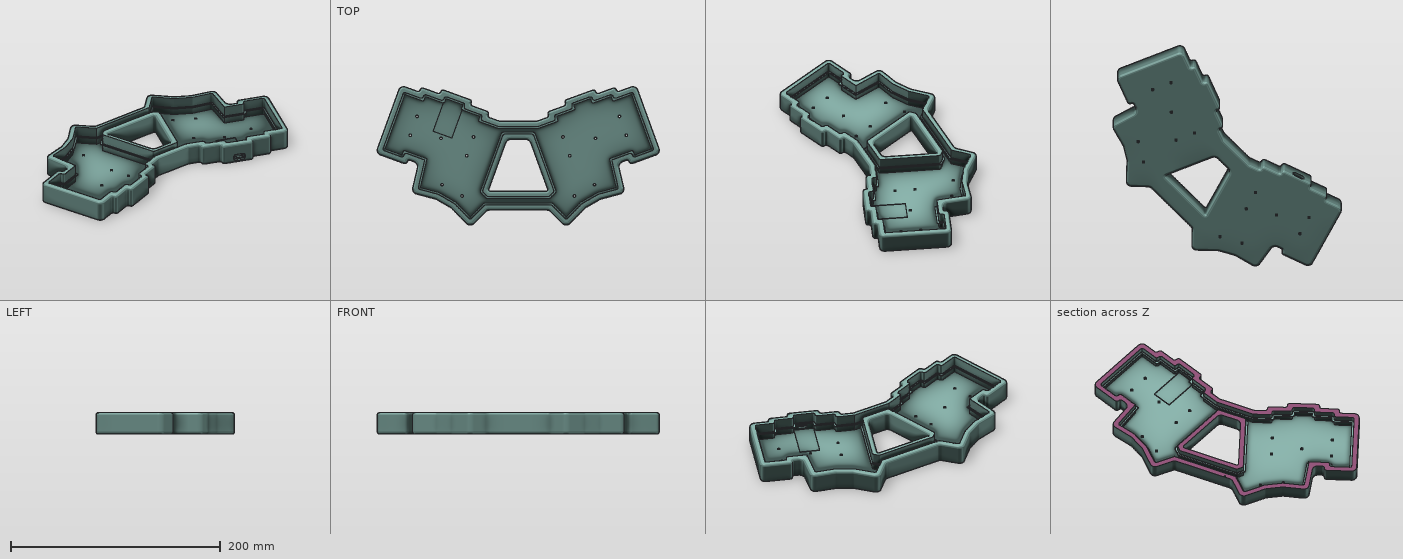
import cadquery as cq
import math


height = 20.7
floor_thickness = 3.0
lip_top = 10.8
lip_thickness = 0.5
lip_width = 2.0
wall = 5.0
wall_and_lip = wall + lip_width
edge_fillet = 2.5

corner_radius = 5.0
outer_radii = {"corner": corner_radius, "bend": corner_radius, "outward": 2.55, "inward": 2.2}
inner_wall_radii = {"corner": lip_width, "outward": 2.2, "inward": 2.2}
lip_radii = {"outward": 0.8, "inward": 1.3}
window_hole_radii = {"back": corner_radius, "front": 1.3}
window_wall_radii = {"back": 2.2, "front": 2.2}

hand_tilt = math.radians(20)
key_pitch = 19.0
stagger = 4.8
hand_left = -121.35
back_low = 17.7
back_mid = back_low + stagger
back_high = back_mid + stagger
left_step_1 = hand_left + key_pitch
left_step_2 = left_step_1 + key_pitch
right_step_1 = -66.0
right_step_2 = right_step_1 + key_pitch
front_low = -37.4
front_high = front_low + stagger
front_step = -104.3
front_inner = -80.5

bridge_back = 25.8
bridge_front = -45.02
thumb_left = (-93.3, -30.5)
thumb_tilt = math.radians(15)
thumb_front_length = 18.5
thumb_bend = (-59.5, -44.3)
thumb_tip = (-45.7, -58.3)

window_side = -22.3
window_back = 22.3
window_front = -40.9
window_cut_end = -30.0

hole_diameter = 2.2
hole_left = -103.35
hole_back = 2.2
hole_columns_apart = 3 * key_pitch
middle_hole_v = -9.7
thumb_holes = [(-72.5, -27.7), (-53.5, -38.5)]

recess_depth = 0.5
recess_front = -6.0
recess_u = (left_step_2 + right_step_1) / 2
plug_u = -75.8
plug_z = 6.0
plug_width = 9.0
plug_height = 3.8
plug_wall = 2.7
socket_width = 11.8
socket_height = 6.5
slot_rounding = 0.45


def from_hand(u, v):
    """Turn a point on the left hand's axes into X and Y."""
    x = u * math.cos(hand_tilt) + v * math.sin(hand_tilt)
    y = v * math.cos(hand_tilt) - u * math.sin(hand_tilt)
    return (x, y)


def column_line_at(u, y):
    """Point with the given Y on the line of constant u."""
    return from_hand(u, (y + u * math.sin(hand_tilt)) / math.cos(hand_tilt))


def row_line_at(v, y):
    """Point with the given Y on the line of constant v."""
    return from_hand((v * math.cos(hand_tilt) - y) / math.sin(hand_tilt), v)


def mirror_points(points):
    return [(-x, y) for x, y in points]


def mirrored(half):
    """Complete a left half of (point, corner kind) with its mirror image."""
    return half + [((-x, y), kind) for (x, y), kind in reversed(half)]


def offset_outline(corners, distance):
    """Move every side of a clockwise outline outwards, keeping the corners sharp."""
    moved = []
    for i, ((x, y), kind) in enumerate(corners):
        before = corners[i - 1][0]
        after = corners[(i + 1) % len(corners)][0]
        arriving = math.atan2(y - before[1], x - before[0])
        leaving = math.atan2(after[1] - y, after[0] - x)
        direction = (arriving + leaving + math.pi) / 2
        reach = distance / math.cos((leaving - arriving) / 2)
        moved.append(((x + reach * math.cos(direction), y + reach * math.sin(direction)), kind))
    return moved


def prism(corners, radii, bottom, top):
    """Upright prism over an outline; corner kinds without a radius stay sharp."""
    body = cq.Workplane("XY", origin=(0, 0, bottom)).polyline([point for point, _ in corners]).close()
    body = body.extrude(top - bottom)
    middle = (bottom + top) / 2
    for kind, radius in radii.items():
        spots = [(x, y, middle) for (x, y), corner_kind in corners if corner_kind == kind]
        if spots:
            edges = [body.edges(cq.NearestToPointSelector(spot)).val() for spot in spots]
            body = body.newObject(edges).fillet(radius)
    return body


def hand_block(u_middle, width, v_front, v_back, bottom, top):
    """Block aligned with the left hand's axes."""
    block = cq.Workplane("XY").box(width, v_back - v_front, top - bottom, centered=(True, False, False))
    block = block.translate((u_middle, v_front, bottom))
    return block.rotate((0, 0, 0), (0, 0, 1), -math.degrees(hand_tilt))


def plug_slot(width, slot_height, v_front, v_back):
    """Slot with rounded ends, running along v at the plug position."""
    half = slot_height / 2
    slot = hand_block(plug_u, width, v_front, v_back, plug_z - half, plug_z + half)
    along_v = cq.Vector(*from_hand(0, 1), 0)
    return slot.edges(cq.ParallelDirSelector(along_v)).fillet(slot_rounding * slot_height)


bridge_front_end = thumb_tip[0] + bridge_front - thumb_tip[1]
thumb_key_end = (
    thumb_left[0] + thumb_front_length * math.cos(thumb_tilt),
    thumb_left[1] - thumb_front_length * math.sin(thumb_tilt),
)
case_lip = mirrored([
    ((bridge_front_end, bridge_front), "bend"),
    (thumb_tip, "corner"),
    (thumb_bend, "bend"),
    (thumb_key_end, "bend"),
    (thumb_left, "corner"),
    (from_hand(front_inner, front_high), "bend"),
    (from_hand(front_step, front_high), "inward"),
    (from_hand(front_step, front_low), "outward"),
    (from_hand(hand_left, front_low), "corner"),
    (from_hand(hand_left, back_low), "corner"),
    (from_hand(left_step_1, back_low), "inward"),
    (from_hand(left_step_1, back_mid), "outward"),
    (from_hand(left_step_2, back_mid), "inward"),
    (from_hand(left_step_2, back_high), "outward"),
    (from_hand(right_step_1, back_high), "outward"),
    (from_hand(right_step_1, back_mid), "inward"),
    (from_hand(right_step_2, back_mid), "outward"),
    (from_hand(right_step_2, back_low), "inward"),
    (row_line_at(back_low, bridge_back), "bend"),
])

window_corner_x = column_line_at(window_side, window_front)[0]
window_cut_rise = (window_cut_end - window_corner_x) / (1 + math.tan(hand_tilt))
window_lip = mirrored([
    ((window_cut_end, window_front), "front"),
    ((window_cut_end - window_cut_rise, window_front + window_cut_rise), "front"),
    (column_line_at(window_side, window_back), "back"),
])

case_wall = offset_outline(case_lip, lip_width)
window_wall = offset_outline(window_lip, -lip_width)

body = prism(offset_outline(case_lip, wall_and_lip), outer_radii, 0, height)
body = body.cut(prism(offset_outline(window_lip, -wall_and_lip), window_hole_radii, 0, height))
body = body.faces("<Z or >Z").edges().fillet(edge_fillet)

lip_bottom = lip_top - lip_thickness
room_below = prism(case_wall, inner_wall_radii, floor_thickness, lip_bottom)
room_above = prism(case_wall, inner_wall_radii, lip_top, height)
rooms = room_below.union(room_above).cut(prism(window_wall, window_wall_radii, 0, height))
lip_opening = prism(case_lip, lip_radii, floor_thickness, height)
lip_opening = lip_opening.cut(prism(window_lip, window_wall_radii, 0, height))
body = body.cut(rooms.union(lip_opening))

hand_holes = [
    from_hand(u, v)
    for u in (hole_left, hole_left + hole_columns_apart)
    for v in (hole_back, hole_back - key_pitch)
]
middle_hole = from_hand(hole_left + hole_columns_apart / 2, middle_hole_v)
left_holes = hand_holes + [middle_hole] + thumb_holes
holes = cq.Workplane("XY").pushPoints(left_holes + mirror_points(left_holes))
body = body.cut(holes.circle(hole_diameter / 2).extrude(floor_thickness))

inner_face = back_high + lip_width
outer_face = back_high + wall_and_lip
recess_bottom = floor_thickness - recess_depth
recess = hand_block(recess_u, key_pitch, recess_front, inner_face, recess_bottom, floor_thickness)
plug = plug_slot(plug_width, plug_height, back_high, outer_face)
socket = plug_slot(socket_width, socket_height, inner_face + plug_wall, outer_face)
result = body.cut(recess).cut(plug).cut(socket)